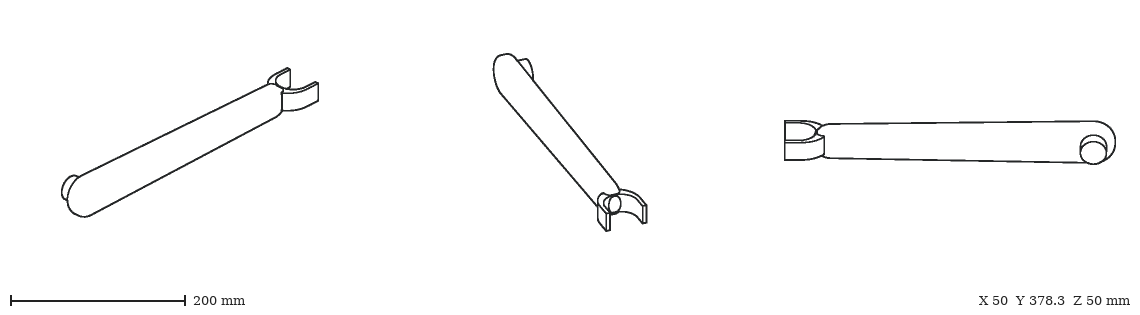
import cadquery as cq
import math

total_length = 378.3
fork_width = 50.0

arm_thickness = 20.0
pivot_radius = fork_width / 2
neck_radius = 20.0
edge_fillet = 7.0
neck_to_fork_tip = 53.0

pin_diameter = 30.0
pin_reach = fork_width / 2

prong_thickness = 5.0
fork_height = 23.0
fork_middle_z = 0.8
inner_straight = 16.0
outer_straight = 19.3
outer_bend_radius = 31.5
fork_depth = 45.0

fork_tip_y = total_length - pivot_radius
neck_y = fork_tip_y - neck_to_fork_tip


def make_arm():
    """Two round ends joined by tangent lines, with rounded edges all around."""
    taper = math.asin((pivot_radius - neck_radius) / neck_y)

    def tangent_point(center_y, radius):
        return center_y + radius * math.sin(taper), radius * math.cos(taper)

    pivot_tangent_y, pivot_tangent_z = tangent_point(0, pivot_radius)
    neck_tangent_y, neck_tangent_z = tangent_point(neck_y, neck_radius)
    outline = (
        cq.Workplane("YZ")
        .workplane(offset=-arm_thickness / 2)
        .moveTo(pivot_tangent_y, pivot_tangent_z)
        .lineTo(neck_tangent_y, neck_tangent_z)
        .threePointArc((neck_y + neck_radius, 0), (neck_tangent_y, -neck_tangent_z))
        .lineTo(pivot_tangent_y, -pivot_tangent_z)
        .threePointArc((-pivot_radius, 0), (pivot_tangent_y, pivot_tangent_z))
        .close()
    )
    return outline.extrude(arm_thickness).faces("<X or >X").edges().fillet(edge_fillet)


def make_pin():
    """Round pin on the pivot axis, reaching out of the -X side."""
    return cq.Workplane("YZ").circle(pin_diameter / 2).extrude(-pin_reach)


def make_fork():
    """Two straight prongs curving together into a base that meets the arm."""
    outer_x = fork_width / 2
    inner_x = outer_x - prong_thickness
    inner_y = fork_tip_y - inner_straight
    outer_y = fork_tip_y - outer_straight
    base_y = fork_tip_y - fork_depth

    bend_center_x = outer_x - outer_bend_radius
    bend_angle = math.asin((outer_y - base_y) / outer_bend_radius)
    base_x = bend_center_x + outer_bend_radius * math.cos(bend_angle)
    bend_middle_x = bend_center_x + outer_bend_radius * math.cos(bend_angle / 2)
    bend_middle_y = outer_y - outer_bend_radius * math.sin(bend_angle / 2)

    return (
        cq.Workplane("XY")
        .workplane(offset=fork_middle_z - fork_height / 2)
        .moveTo(outer_x, fork_tip_y)
        .lineTo(outer_x, outer_y)
        .threePointArc((bend_middle_x, bend_middle_y), (base_x, base_y))
        .lineTo(-base_x, base_y)
        .threePointArc((-bend_middle_x, bend_middle_y), (-outer_x, outer_y))
        .lineTo(-outer_x, fork_tip_y)
        .lineTo(-inner_x, fork_tip_y)
        .lineTo(-inner_x, inner_y)
        .threePointArc((0, inner_y - inner_x), (inner_x, inner_y))
        .lineTo(inner_x, fork_tip_y)
        .close()
        .extrude(fork_height)
    )


result = make_arm().union(make_pin()).union(make_fork())